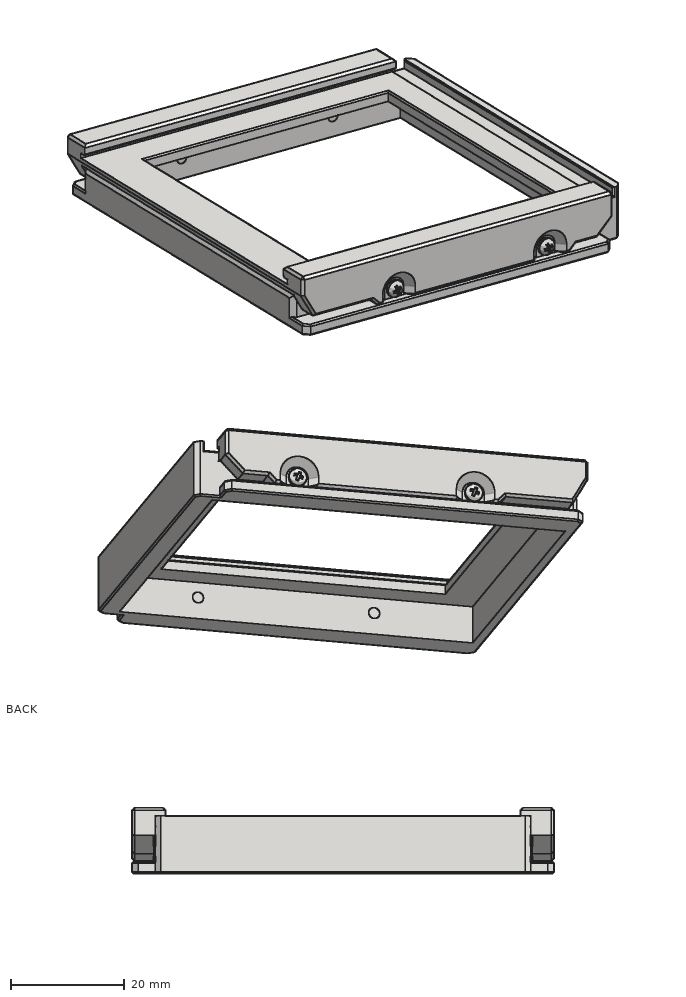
import cadquery as cq
import math

overall_width = 74.5
overall_depth = 70.75
overall_height = 11.65

edge_bevel = 0.5
small_bevel = 0.3

frame_front = 0.7
base_thickness = 2.1
base_corner = 1.1
block_width = 66.25
frame_wall = 1.9
frame_back_wall = 3.6
block_top = 6.75
block_corner = 0.95
block_front_bevel = 1.05
back_wall_depth = 4.3
ledge_top = 8.55
lip_top = 10.2
lip_depth = 1.75
lip_bevel = 0.2

cover_depth = 66.25
wall_thickness = 3.85
wall_bottom = 2.2
plate_top = 8.7
front_slope_top = 8.0
front_slope_run = 2.6
raised_bottom = 3.5
skirt_half_length = 20.45
skirt_center = 36.7
rail_width = 5.97
groove_depth = 1.27
groove_height = 0.9

window_size = 51.9
window_front = 9.05

screw_spacing = 32.2
screw_height = 3.95
head_diameter = 3.2
head_height = 1.2
head_rim_height = 0.5
shank_diameter = 2.0
pocket_depth = 1.5
pocket_outer_radius = 3.5
pocket_taper = 45
cross_length = 1.6
cross_width = 0.45
cross_depth = 0.5
cross_angle = 20

pick_margin = 0.1

half_width = overall_width / 2
half_block = block_width / 2
seat_x = half_width - pocket_depth
shank_length = seat_x - half_block + frame_wall
screw_sites = [
    (side, skirt_center + offset)
    for side in (-1, 1)
    for offset in (-screw_spacing / 2, screw_spacing / 2)
]


def box(x0, x1, y0, y1, z0, z1):
    return cq.Workplane("XY").box(x1 - x0, y1 - y0, z1 - z0, centered=False).translate((x0, y0, z0))


def window(bottom, top):
    half = window_size / 2
    return box(-half, half, window_front, window_front + window_size, bottom, top)


def window_rim():
    """Selector for the top edges of the window."""
    reach = window_size / 2 + pick_margin
    middle = window_front + window_size / 2
    return cq.selectors.BoxSelector(
        (-reach, middle - reach, plate_top - pick_margin),
        (reach, middle + reach, plate_top + pick_margin),
    )


def shank_hole(side, y):
    inner_end = cq.Workplane("YZ", origin=(side * (seat_x - shank_length), y, screw_height))
    return inner_end.circle(shank_diameter / 2).extrude(side * shank_length)


def bevel_ledge(block, wall_front):
    """Bevel the front edge of the lip and the side edges of the lip and the ledge."""
    lip_front = overall_depth - lip_depth
    ledge = cq.selectors.BoxSelector(
        (-overall_width, wall_front + pick_margin, ledge_top - pick_margin),
        (overall_width, lip_front + pick_margin, lip_top + pick_margin),
    )
    lip_edge = cq.selectors.BoxSelector(
        (-half_width, lip_front - pick_margin, lip_top - pick_margin),
        (half_width, lip_front + pick_margin, lip_top + pick_margin),
    )
    block = block.edges(ledge).edges("|Y or |Z").chamfer(small_bevel)
    return block.edges(lip_edge).edges("|X").chamfer(lip_bevel)


def build_frame():
    base = box(-half_width, half_width, frame_front, cover_depth, 0, base_thickness)
    base = base.edges("|Z").chamfer(base_corner)
    base = base.faces(">Z or <Z").edges().chamfer(small_bevel)

    wall_front = overall_depth - back_wall_depth
    profile = [
        (frame_front, 0),
        (overall_depth, 0),
        (overall_depth, lip_top),
        (overall_depth - lip_depth, lip_top),
        (overall_depth - lip_depth, ledge_top),
        (wall_front, ledge_top),
        (wall_front, block_top),
        (frame_front, block_top),
    ]
    block = cq.Workplane("YZ").polyline(profile).close().extrude(half_block, both=True)
    block = block.edges("|Z and (<Y or >Y)").chamfer(block_corner)
    block = block.faces("<Y").edges(">Z").chamfer(block_front_bevel)
    block = block.faces("<Z").edges().chamfer(small_bevel)
    block = bevel_ledge(block, wall_front)

    opening_half = half_block - frame_wall
    opening_front = frame_front + frame_wall
    opening_back = overall_depth - frame_back_wall
    opening = box(-opening_half, opening_half, opening_front, opening_back, 0, block_top)
    frame = base.union(block).cut(opening)
    for side, y in screw_sites:
        frame = frame.cut(shank_hole(side, y))
    return frame


def cover_section():
    rail_x = half_width - rail_width
    groove_x = rail_x + groove_depth
    lip_bottom = plate_top + groove_height
    inner_x = half_width - wall_thickness
    right = [
        (inner_x, block_top),
        (inner_x, wall_bottom),
        (half_width, wall_bottom),
        (half_width, overall_height),
        (rail_x, overall_height),
        (rail_x, lip_bottom + small_bevel),
        (rail_x + small_bevel, lip_bottom),
        (groove_x, lip_bottom),
        (groove_x, plate_top),
    ]
    left = [(-x, z) for x, z in reversed(right)]
    return cq.Workplane("XZ").polyline(right + left).close().extrude(-cover_depth)


def cover_side_outline():
    rise = raised_bottom - wall_bottom
    skirt_front = skirt_center - skirt_half_length
    skirt_back = skirt_center + skirt_half_length
    back_slope = block_top - raised_bottom
    outline = [
        (0, overall_height),
        (0, front_slope_top),
        (front_slope_run, raised_bottom),
        (skirt_front - rise, raised_bottom),
        (skirt_front, wall_bottom),
        (skirt_back, wall_bottom),
        (skirt_back + rise, raised_bottom),
        (cover_depth - back_slope, raised_bottom),
        (cover_depth, block_top),
        (cover_depth, overall_height),
    ]
    return cq.Workplane("YZ").polyline(outline).close().extrude(half_width, both=True)


def screw_pocket(side, y):
    """Tapered pocket with a round top, open at the bottom of the cover wall."""
    r = pocket_outer_radius
    reach = screw_height + r
    pocket = (
        cq.Workplane("YZ", origin=(half_width, y, screw_height))
        .moveTo(-r, -reach)
        .lineTo(-r, 0)
        .threePointArc((0, r), (r, 0))
        .lineTo(r, -reach)
        .close()
        .extrude(-pocket_depth, taper=pocket_taper)
    )
    return pocket if side > 0 else pocket.mirror("YZ")


def pocket_mouth(side, y):
    """Selector for the two sloping edges where a screw pocket opens through the wall bottom."""
    return cq.selectors.BoxSelector(
        (side * (seat_x + pick_margin), y - pocket_outer_radius, wall_bottom - pick_margin),
        (side * (half_width - pick_margin), y + pocket_outer_radius, wall_bottom + pick_margin),
    )


def build_cover():
    cover = cover_section().intersect(cover_side_outline())
    cover = cover.faces("<X or >X or >Z").edges().chamfer(edge_bevel)
    cover = cover.cut(window(block_top, plate_top))
    cover = cover.edges(window_rim()).chamfer(small_bevel)
    for side, y in screw_sites:
        cover = cover.cut(screw_pocket(side, y)).cut(shank_hole(side, y))
    for side, y in screw_sites:
        cover = cover.edges(pocket_mouth(side, y)).chamfer(small_bevel)
    return cover


def build_screw(side, y):
    """Domed cross-head screw; the underside of the head is seated on the pocket floor."""
    head_radius = head_diameter / 2
    shank_radius = shank_diameter / 2
    dome_rise = head_height - head_rim_height
    dome_radius = (head_radius**2 + dome_rise**2) / (2 * dome_rise)
    dome_center = head_height - dome_radius
    dome_middle_x = dome_center + math.sqrt(dome_radius**2 - shank_radius**2)
    screw = (
        cq.Workplane("XY")
        .moveTo(-shank_length, 0)
        .lineTo(-shank_length, shank_radius)
        .lineTo(0, shank_radius)
        .lineTo(0, head_radius)
        .lineTo(head_rim_height, head_radius)
        .threePointArc((dome_middle_x, shank_radius), (head_height, 0))
        .close()
        .revolve(360, (0, 0, 0), (1, 0, 0))
    )
    for size in ((cross_length, cross_width), (cross_width, cross_length)):
        slot = cq.Workplane("YZ").rect(*size).extrude(cross_depth)
        screw = screw.cut(slot.translate((head_height - cross_depth, 0, 0)))
    screw = screw.rotate((0, 0, 0), (1, 0, 0), cross_angle)
    if side < 0:
        screw = screw.mirror("YZ")
    return screw.translate((side * seat_x, y, screw_height))


frame = build_frame()
cover = build_cover()
screws = [build_screw(side, y).val() for side, y in screw_sites]
result = cq.Compound.makeCompound([frame.val(), cover.val(), *screws])